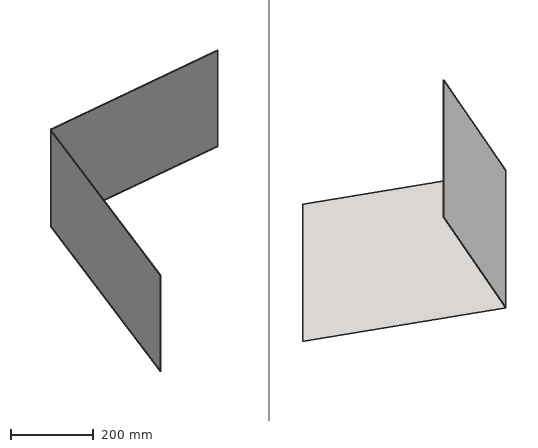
import cadquery as cq

length_x = 520.5
length_y = 474.5
height = 381.0
thickness = 2.0
inner_bend_radius = 1.9
outer_bend_radius = inner_bend_radius + thickness

plan = (
    cq.Workplane("XY")
    .moveTo(outer_bend_radius, 0)
    .lineTo(length_x, 0)
    .lineTo(length_x, thickness)
    .lineTo(outer_bend_radius, thickness)
    .radiusArc((thickness, outer_bend_radius), inner_bend_radius)
    .lineTo(thickness, length_y)
    .lineTo(0, length_y)
    .lineTo(0, outer_bend_radius)
    .radiusArc((outer_bend_radius, 0), -outer_bend_radius)
    .close()
)

result = plan.extrude(height)